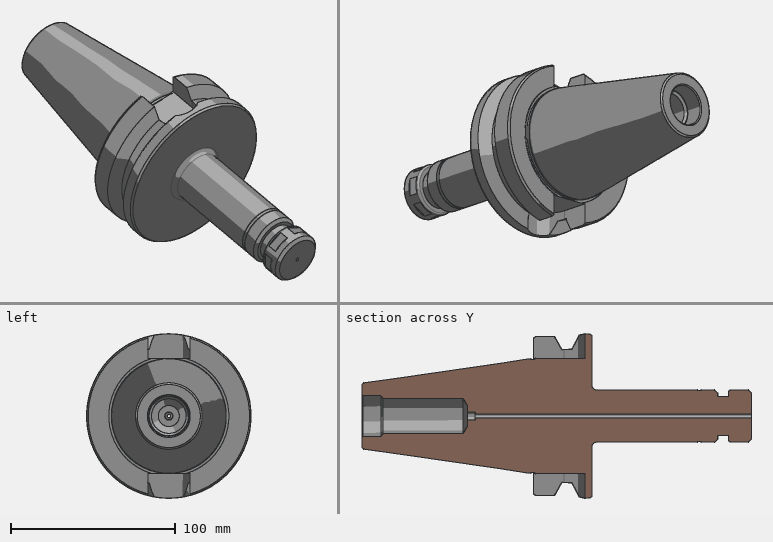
import cadquery as cq
import math

length = 236.8
outer_r = 100.0 / 2

taper_rate = 7 / 24
gauge_x = 101.5
gauge_r = 69.9 / 2
tip_r = gauge_r - gauge_x * taper_rate / 2
tip_chamfer = 1.0
gauge_land = 1.2

relief_r = 34.5
recess_r = 36.5
recess_x = 105.0

flange_x0 = 104.2
flange_x1 = 140.0
flange_chamfer_run = 1.5
flange_chamfer_drop = 1.0
groove_wall_angle = 30
groove_floor_x0 = 121.5
groove_floor_x1 = 127.6
groove_floor_r = 42.5
groove_run = (outer_r - groove_floor_r) * math.tan(math.radians(groove_wall_angle))

slot_width = 25.5
slot_end_x = 135.5
slot_floor_z = 35.0

shaft_r = 32.0 / 2
shaft_fillet = 2.8
shaft_end_x = 216.2
shaft_end_chamfer = 2.0
ring_x0 = 204.0
ring_x1 = 206.0
ring_depth = 0.2
neck_r = 24.0 / 2

nut_x0 = 222.5
nut_r = shaft_r
nut_back_fillet = 1.5
nut_front_chamfer = 2.0
flat_count = 6
flat_x0 = 224.5
flat_x1 = 230.6
flat_distance = 30.0 / 2

pilot_r = 24.6 / 2
pilot_chamfer = 0.7
pilot_depth = 11.5
lead_in_r = 24.0 / 2
core_r = 21.0 / 2
core_end_x = 61.5
seat_r = 12.8 / 2
drill_point_angle = 118
seat_x = core_end_x + (core_r - seat_r) / math.tan(math.radians(drill_point_angle / 2))
counterbore_rim_r = 5.0 / 2
counterbore_r = 4.5 / 2
counterbore_depth = 4.7
coolant_r = 2.0 / 2


def revolve_about_x(profile):
    """Revolve a closed (x, radius) profile about the X axis."""
    return profile.close().revolve(360, (0, 0, 0), (1, 0, 0))


def round_over(profile, start, end, centre):
    """Add a quarter arc from start to end about the given centre."""
    radius = math.dist(start, centre)
    bisector = (start[0] + end[0] - 2 * centre[0], start[1] + end[1] - 2 * centre[1])
    reach = math.hypot(*bisector)
    middle = (centre[0] + radius * bisector[0] / reach, centre[1] + radius * bisector[1] / reach)
    return profile.threePointArc(middle, end)


def make_shank_and_flange():
    profile = (
        cq.Workplane("XY")
        .lineTo(0, tip_r - tip_chamfer)
        .lineTo(tip_chamfer, tip_r + tip_chamfer * taper_rate / 2)
        .lineTo(gauge_x, gauge_r)
        .lineTo(gauge_x + gauge_land, gauge_r)
        .lineTo(gauge_x + gauge_land, relief_r)
        .lineTo(recess_x, relief_r)
        .lineTo(recess_x, recess_r)
        .lineTo(flange_x0, recess_r)
        .lineTo(flange_x0, outer_r - flange_chamfer_drop)
        .lineTo(flange_x0 + flange_chamfer_run, outer_r)
        .lineTo(groove_floor_x0 - groove_run, outer_r)
        .lineTo(groove_floor_x0, groove_floor_r)
        .lineTo(groove_floor_x1, groove_floor_r)
        .lineTo(groove_floor_x1 + groove_run, outer_r)
        .lineTo(flange_x1 - flange_chamfer_run, outer_r)
        .lineTo(flange_x1, outer_r - flange_chamfer_drop)
        .lineTo(flange_x1, 0)
    )
    return revolve_about_x(profile)


def make_shaft_and_nut():
    fillet_x = flange_x1 + shaft_fillet
    fillet_r = shaft_r + shaft_fillet
    profile = cq.Workplane("XY").moveTo(flange_x1, 0).lineTo(flange_x1, fillet_r)
    profile = round_over(profile, (flange_x1, fillet_r), (fillet_x, shaft_r), (fillet_x, fillet_r))
    profile = (
        profile.lineTo(ring_x0, shaft_r)
        .lineTo(ring_x0, shaft_r - ring_depth)
        .lineTo(ring_x1, shaft_r - ring_depth)
        .lineTo(ring_x1, shaft_r)
        .lineTo(shaft_end_x - shaft_end_chamfer, shaft_r)
        .lineTo(shaft_end_x, shaft_r - shaft_end_chamfer)
        .lineTo(shaft_end_x, neck_r)
        .lineTo(nut_x0, neck_r)
    )
    back_start = (nut_x0, nut_r - nut_back_fillet)
    back_end = (nut_x0 + nut_back_fillet, nut_r)
    profile = profile.lineTo(*back_start)
    profile = round_over(profile, back_start, back_end, (back_end[0], back_start[1]))
    profile = (
        profile.lineTo(length - nut_front_chamfer, nut_r)
        .lineTo(length, nut_r - nut_front_chamfer)
        .lineTo(length, 0)
    )
    return revolve_about_x(profile)


def make_bores():
    profile = (
        cq.Workplane("XY")
        .lineTo(0, pilot_r + pilot_chamfer)
        .lineTo(pilot_chamfer, pilot_r)
        .lineTo(pilot_depth, pilot_r)
        .lineTo(pilot_depth, lead_in_r)
        .lineTo(pilot_depth + lead_in_r - core_r, core_r)
        .lineTo(core_end_x, core_r)
        .lineTo(seat_x, seat_r)
        .lineTo(seat_x, counterbore_rim_r)
        .lineTo(seat_x + counterbore_rim_r - counterbore_r, counterbore_r)
        .lineTo(seat_x + counterbore_depth, counterbore_r)
        .lineTo(seat_x + counterbore_depth, coolant_r)
        .lineTo(length, coolant_r)
        .lineTo(length, 0)
    )
    return revolve_about_x(profile)


def make_drive_slot():
    """Round-ended cutter for the +Z slot, open towards the taper."""
    half_width = slot_width / 2
    arc_x = slot_end_x - half_width
    return (
        cq.Workplane("XY", origin=(0, 0, slot_floor_z))
        .moveTo(gauge_x + gauge_land, -half_width)
        .lineTo(arc_x, -half_width)
        .threePointArc((slot_end_x, 0), (arc_x, half_width))
        .lineTo(gauge_x + gauge_land, half_width)
        .close()
        .extrude(outer_r - slot_floor_z)
    )


def make_nut_flat():
    """Cutter for the spanner flat facing +Y."""
    cutter = cq.Workplane("XY").box(
        flat_x1 - flat_x0,
        nut_r - flat_distance,
        2 * nut_r,
        centered=(False, False, True),
    )
    return cutter.translate((flat_x0, flat_distance, 0))


axis_start = (0, 0, 0)
axis_end = (1, 0, 0)

result = make_shank_and_flange().union(make_shaft_and_nut()).cut(make_bores())

for angle in (0, 180):
    result = result.cut(make_drive_slot().rotate(axis_start, axis_end, angle))

for index in range(flat_count):
    angle = index * 360 / flat_count
    result = result.cut(make_nut_flat().rotate(axis_start, axis_end, angle))